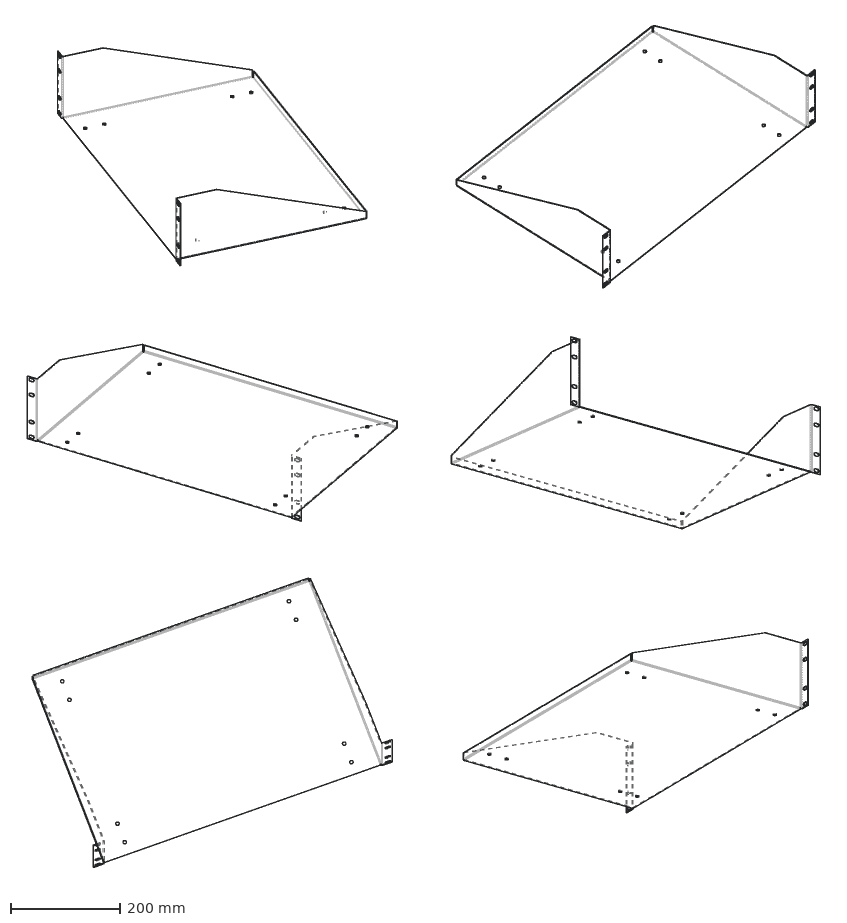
import cadquery as cq

width = 584.5
depth = 381.0
height = 132.5

sheet = 2.0
bend_inner = 0.5
bend_outer = bend_inner + sheet
flange_bend_inner = 1.0
flange_bend_outer = flange_bend_inner + sheet

flange_reach = 22.0
rear_lip_height = 14.5
wall_rear_height = 16.5
wall_flat_length = 82.0

slot_width = 6.5
slot_length = 10.5
slot_edge_offset = 9.0
slot_end_offset = 6.0
slot_pitch = 31.5

hole_diameter = 6.5
hole_spacing_x = 443.0
hole_end_offset = 26.0
hole_pitch_y = 38.0

wall_inner_x = width / 2 - flange_reach
wall_outer_x = wall_inner_x + sheet
body_rear_y = depth - bend_outer
lip_end_x = wall_outer_x - bend_outer


def bent_sheet(plane, flat_start, outer_face, leg_height):
    """Outline of a level sheet bent up at its far end into a leg with the given outer face."""
    inner_face = outer_face - sheet
    return (
        cq.Workplane(plane)
        .moveTo(flat_start, 0)
        .lineTo(outer_face - bend_outer, 0)
        .radiusArc((outer_face, bend_outer), -bend_outer)
        .lineTo(outer_face, leg_height)
        .lineTo(inner_face, leg_height)
        .lineTo(inner_face, bend_outer)
        .radiusArc((outer_face - bend_outer, sheet), bend_inner)
        .lineTo(flat_start, sheet)
        .close()
    )


def make_half_tray():
    """Right half of the floor, bent up into the sloping side wall."""
    folded = bent_sheet("XZ", 0, wall_outer_x, height).extrude(-body_rear_y)
    side_profile = (
        cq.Workplane("YZ")
        .polyline([
            (flange_bend_outer, 0),
            (body_rear_y, 0),
            (body_rear_y, wall_rear_height),
            (wall_flat_length, height),
            (flange_bend_outer, height),
        ])
        .close()
        .extrude(width / 2)
    )
    return folded.intersect(side_profile)


def make_front_strip():
    """Right half of the narrow floor strip behind the flange face, joined to the flange bend."""
    return cq.Workplane("XY").box(
        wall_outer_x, flange_bend_outer - sheet, sheet, centered=False
    ).translate((0, sheet, 0))


def make_flange():
    """Right mounting flange, bent outward from the front edge of the side wall."""
    return (
        cq.Workplane("XY")
        .moveTo(width / 2, 0)
        .lineTo(wall_inner_x + flange_bend_outer, 0)
        .radiusArc((wall_inner_x, flange_bend_outer), flange_bend_outer)
        .lineTo(wall_outer_x, flange_bend_outer)
        .radiusArc((wall_inner_x + flange_bend_outer, sheet), -flange_bend_inner)
        .lineTo(width / 2, sheet)
        .close()
        .extrude(height)
    )


def make_rear_lip():
    """Right half of the low lip bent up along the rear edge of the floor."""
    return bent_sheet("YZ", depth / 2, depth, rear_lip_height).extrude(lip_end_x)


def mirrored_pairs(length, end_offset, pitch):
    """Positions along a length: a pair near each end, mirrored about the middle."""
    near = [end_offset, end_offset + pitch]
    return near + [length - place for place in near]


def make_slots():
    """Cutters for the horizontal mounting slots in both flanges."""
    slot_x = width / 2 - slot_edge_offset
    slot_heights = mirrored_pairs(height, slot_end_offset, slot_pitch)
    return (
        cq.Workplane("XZ")
        .pushPoints([(x, z) for x in (-slot_x, slot_x) for z in slot_heights])
        .slot2D(slot_length, slot_width)
        .extrude(-sheet)
    )


def make_floor_holes():
    """Cutters for the round holes through the floor."""
    hole_x = hole_spacing_x / 2
    hole_depths = mirrored_pairs(depth, hole_end_offset, hole_pitch_y)
    return (
        cq.Workplane("XY")
        .pushPoints([(x, y) for x in (-hole_x, hole_x) for y in hole_depths])
        .circle(hole_diameter / 2)
        .extrude(sheet)
    )


right_half = (
    make_half_tray()
    .union(make_front_strip())
    .union(make_flange())
    .union(make_rear_lip())
)
result = (
    right_half
    .union(right_half.mirror("YZ"))
    .cut(make_slots())
    .cut(make_floor_holes())
    .clean()
)